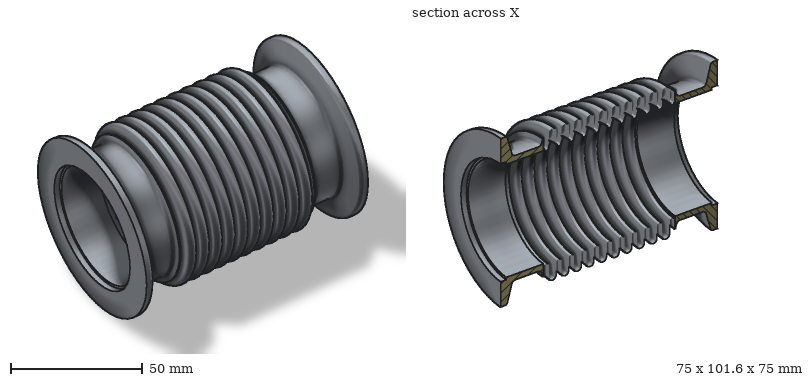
import cadquery as cq
import math

total_length = 101.6
end_length = 20.0
half_length = total_length / 2
half_bellows = half_length - end_length

flange_radius = 37.5
flange_edge_thickness = 3.1
cone_angle = 15.0
cone_fillet = 1.5
recess_radius = 26.1
recess_depth = 2.6
tube_radius = 27.7
bore_radius = 25.0
lip_radius = 30.7
lip_edge_thickness = 0.4

convolutions = 10
pitch = 5.9
wall = 0.25
crest_radius = 33.9
root_radius = 25.45
root_bend = half_bellows - wall - convolutions * pitch / 2
crest_bend = pitch / 2 - root_bend


def cone_rise(radial_run):
    """Axial travel of a cone over a radial run, its angle taken from the radial plane."""
    return radial_run * math.tan(math.radians(cone_angle))


def circle_edges(radius, y):
    """Selector for the circular edge around the Y axis with the given radius and Y position."""
    margin = 0.05
    reach = radius + margin
    return cq.selectors.BoxSelector((-reach, y - margin, -reach), (reach, y + margin, reach), boundingbox=True)


def make_flanged_tube():
    """Flanged tube at the +Y end, its flange face outermost."""
    face = half_length
    flange_edge = face - flange_edge_thickness
    flange_root = flange_edge - cone_rise(flange_radius - tube_radius)
    lip_edge = half_bellows + lip_edge_thickness
    lip_root = lip_edge + cone_rise(lip_radius - tube_radius)
    recess_floor = face - recess_depth

    tube = (
        cq.Workplane("XY")
        .moveTo(recess_radius, face)
        .lineTo(flange_radius, face)
        .lineTo(flange_radius, flange_edge)
        .lineTo(tube_radius, flange_root)
        .lineTo(tube_radius, lip_root)
        .lineTo(lip_radius, lip_edge)
        .lineTo(lip_radius, half_bellows)
        .lineTo(bore_radius, half_bellows)
        .lineTo(bore_radius, recess_floor)
        .lineTo(recess_radius, recess_floor)
        .close()
        .revolve(360, (0, 0, 0), (0, 1, 0))
    )
    tube = tube.edges(circle_edges(flange_radius, flange_edge)).fillet(cone_fillet)
    tube = tube.edges(circle_edges(tube_radius, flange_root)).fillet(cone_fillet)
    return tube.edges(circle_edges(tube_radius, lip_root)).fillet(cone_fillet)


def trace_convolutions(profile, direction, crest, root, crest_bend_radius, root_bend_radius):
    """Add one surface of the bellows wall, from a start on the first root's end-side flank.

    direction is +1 when travelling towards +Y and -1 when travelling towards -Y.
    """
    crest_centre = crest - crest_bend_radius
    root_centre = root + root_bend_radius
    first_root = -direction * convolutions * pitch / 2
    for index in range(convolutions + 1):
        root_y = first_root + direction * index * pitch
        crest_y = root_y + direction * pitch / 2
        profile = profile.threePointArc((root, root_y), (root_centre, root_y + direction * root_bend_radius))
        if index < convolutions:
            profile = (
                profile
                .lineTo(crest_centre, crest_y - direction * crest_bend_radius)
                .threePointArc((crest, crest_y), (crest_centre, crest_y + direction * crest_bend_radius))
                .lineTo(root_centre, crest_y + direction * (pitch / 2 - root_bend_radius))
            )
    return profile


def make_bellows():
    """Thin corrugated wall with a flat collar at each end that meets the tube lip."""
    collar_inner = half_bellows - wall
    root_centre = root_radius + root_bend
    profile = cq.Workplane("XY").moveTo(lip_radius, -collar_inner).lineTo(root_centre, -collar_inner)
    profile = trace_convolutions(profile, 1, crest_radius, root_radius, crest_bend, root_bend)
    profile = (
        profile
        .lineTo(lip_radius, collar_inner)
        .lineTo(lip_radius, half_bellows)
        .lineTo(root_centre, half_bellows)
    )
    profile = trace_convolutions(
        profile, -1, crest_radius - wall, root_radius - wall, crest_bend - wall, root_bend + wall
    )
    profile = profile.lineTo(lip_radius, -half_bellows).close()
    return profile.revolve(360, (0, 0, 0), (0, 1, 0))


rear_tube = make_flanged_tube()
front_tube = rear_tube.mirror("XZ")
bellows = make_bellows()

result = cq.Compound.makeCompound([rear_tube.val(), front_tube.val(), bellows.val()])